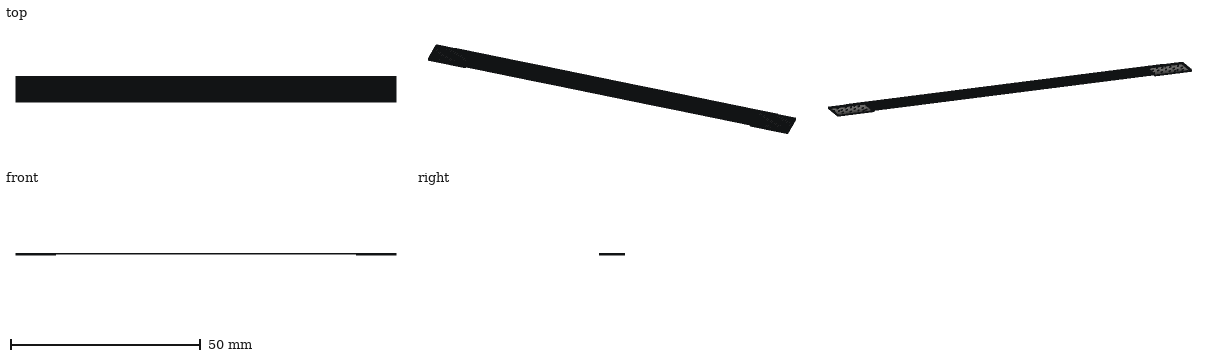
import cadquery as cq

length = 100.0
conductor_count = 12
pitch = 0.5
width = (conductor_count + 1) * pitch
total_height = 0.36

bare_length = 5.0
conductor_width = 0.3
conductor_thickness = 0.06
cover_thickness = 0.03
stiffener_length = 10.2
stiffener_thickness = total_height - conductor_thickness - cover_thickness


def slab(x_start, x_size, y_size, z_start, z_size, y_center=0.0):
    """Box starting at x_start and z_start, centred on y_center."""
    box = cq.Workplane("XY").box(x_size, y_size, z_size, centered=(False, True, False))
    return box.translate((x_start, y_center, z_start))


cover_length = length - 2 * bare_length
result = slab(-cover_length / 2, cover_length, width, conductor_thickness, cover_thickness)

for x_start in (-length / 2, length / 2 - stiffener_length):
    stiffener = slab(x_start, stiffener_length, width, -stiffener_thickness, stiffener_thickness)
    result = result.union(stiffener)

first_conductor_y = -(conductor_count - 1) * pitch / 2
for index in range(conductor_count):
    conductor_y = first_conductor_y + index * pitch
    conductor = slab(-length / 2, length, conductor_width, 0, conductor_thickness, conductor_y)
    result = result.union(conductor)